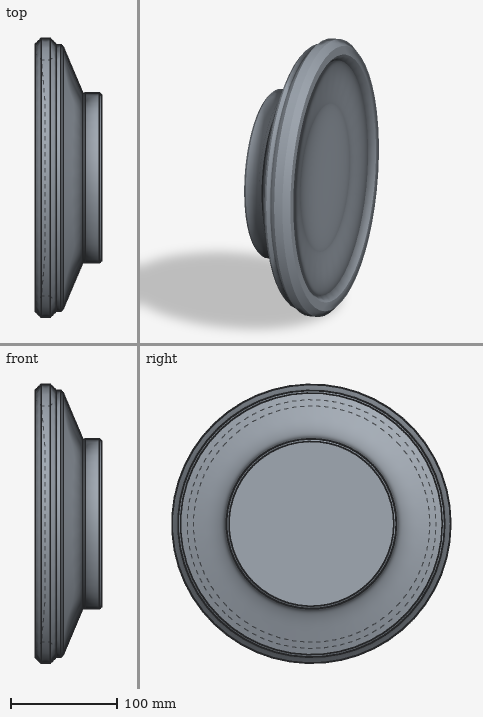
import cadquery as cq
import math

overall_diameter = 262.37
seal_width = 20.0
seal_centre_x = seal_width / 2
seal_centre_radius = overall_diameter / 2 - seal_width / 2
seal_inner_radius = seal_centre_radius - seal_width / 2
seal_side = seal_width * math.tan(math.pi / 8)
seal_bevel = (seal_width - seal_side) / 2

disc_back_x = 62.98
flange_radius = 251.0 / 2
flange_front_x = seal_width
flange_thickness = 6.5
flange_chamfer = 2.4
flange_back_x = flange_front_x + flange_thickness
neck_radius = 159.5 / 2
neck_front_x = 44.8
hub_radius = 160.0 / 2
hub_front_x = 47.4
hub_chamfer = 2.5

dish_floor_radius = 70.0
dish_floor_x = 9.3
dish_rim_x = seal_bevel


def revolve_about_x(outline):
    """Close an outline of (X, radius) points and turn it fully about the X axis."""
    return outline.close().revolve(360, (0, 0, 0), (1, 0, 0))


def make_seal():
    """Octagonal ring lying in front of the flange, with its front face at X = 0."""
    half_width = seal_width / 2
    half_side = seal_side / 2
    section = [
        (half_width, -half_side),
        (half_width, half_side),
        (half_side, half_width),
        (-half_side, half_width),
        (-half_width, half_side),
        (-half_width, -half_side),
        (-half_side, -half_width),
        (half_side, -half_width),
    ]
    outline = cq.Workplane("XY").polyline(
        [(seal_centre_x + x, seal_centre_radius + r) for x, r in section]
    )
    return revolve_about_x(outline)


def make_disc():
    """Dished disc; its step behind the dish rim seats the inner and rear sides of the seal."""
    outline = cq.Workplane("XY").polyline([
        (dish_floor_x, 0),
        (dish_floor_x, dish_floor_radius),
        (dish_rim_x, seal_inner_radius),
        (seal_width - seal_bevel, seal_inner_radius),
        (flange_front_x, seal_inner_radius + seal_bevel),
        (flange_front_x, flange_radius),
        (flange_back_x - flange_chamfer, flange_radius),
        (flange_back_x, flange_radius - flange_chamfer),
        (neck_front_x, neck_radius),
        (hub_front_x, neck_radius),
        (hub_front_x, hub_radius),
        (disc_back_x - hub_chamfer, hub_radius),
        (disc_back_x, hub_radius - hub_chamfer),
        (disc_back_x, 0),
    ])
    return revolve_about_x(outline)


disc = make_disc()
seal = make_seal()

result = cq.Compound.makeCompound([disc.val(), seal.val()])